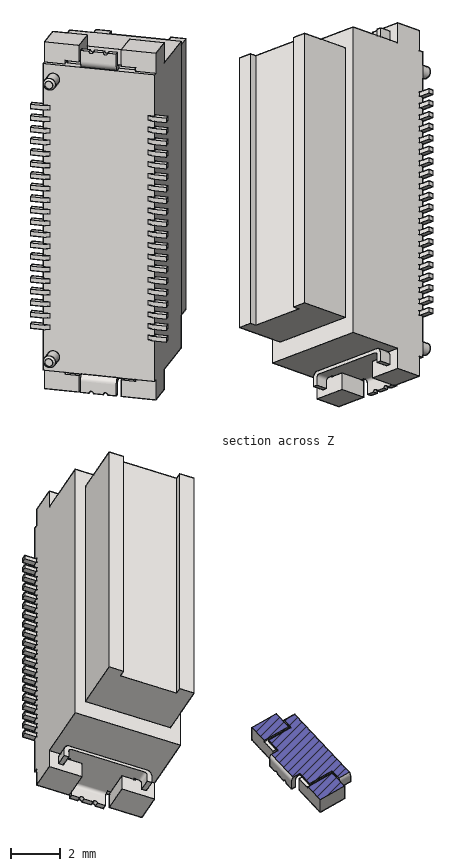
import cadquery as cq
import math


overall_length = 15.0
ear_length = 0.87
body_width = 4.68
body_depth = 3.92
body_half_length = overall_length / 2 - ear_length
plug_width = 3.78
plug_length = 11.7
plug_back = 6.21
groove_width = 2.49
groove_depth = 0.3

ear_gap = 1.77
ear_front = 0.18
ear_back = 1.41
clip_slot_width = 2.97

peg_radius = 0.25
peg_length = 0.69
peg_chamfer = 0.09
peg_x = -1.9
peg_z = 6.0

leads_per_side = 20
lead_row_length = 9.5
lead_pitch = lead_row_length / (leads_per_side - 1)
lead_height = 0.2
lead_reach = 2.85
lead_flat_end = 2.26
lead_bend = 0.14
lead_root = 2.05
lead_back = 0.15
lead_slot_depth = 0.2
mount_plane = -0.09

sheet = 0.21
inner_bend = 0.14
outer_bend = inner_bend + sheet
clip_bottom = 6.57
clip_top = clip_bottom + sheet
crossbar_half_width = 1.95
crossbar_front = 1.45
crossbar_back = 2.0
crossbar_tip = 7.23
web_width = 2.82
web_front = 0.33
tab_width = 1.5
tab_tip = 7.4
notch_radius = 0.09
notch_x = 0.3


def block(width, y_front, y_back, z_low, z_high, x_center=0):
    """Box centred on x_center, given by its Y and Z limits."""
    return (
        cq.Workplane("XY")
        .box(width, y_back - y_front, z_high - z_low, centered=(True, False, False))
        .translate((x_center, y_front, z_low))
    )


def make_body():
    body = block(body_width, 0, body_depth, -body_half_length, body_half_length)
    plug = block(plug_width, body_depth, plug_back, -plug_length / 2, plug_length / 2)
    groove = block(groove_width, plug_back - groove_depth, plug_back, -plug_length / 2, plug_length / 2)
    return body.union(plug.cut(groove))


def make_ears():
    """Pair of ears at the upper end, slotted along their root for the clip."""
    top = overall_length / 2
    ears = block(body_width, ear_front, ear_back, body_half_length, top)
    gap = block(ear_gap, ear_front, ear_back, body_half_length, top)
    slot = block(clip_slot_width, ear_front, ear_back, body_half_length, clip_top)
    return ears.cut(gap).cut(slot)


def bent_strip(plane, start, reach, height):
    """L-shaped sheet profile: flat from start, then bent up at reach to height."""
    diagonal = math.sqrt(0.5)
    bend_x = reach - outer_bend
    return (
        cq.Workplane(plane)
        .moveTo(start, 0)
        .lineTo(bend_x, 0)
        .threePointArc(
            (bend_x + outer_bend * diagonal, outer_bend * (1 - diagonal)),
            (reach, outer_bend),
        )
        .lineTo(reach, height)
        .lineTo(reach - sheet, height)
        .lineTo(reach - sheet, outer_bend)
        .threePointArc(
            (bend_x + inner_bend * diagonal, outer_bend - inner_bend * diagonal),
            (bend_x, sheet),
        )
        .lineTo(start, sheet)
        .close()
    )


def make_clip():
    """Clip at the upper end: crossbar with upturned tips, web and solder tab."""
    crossbar_plane = cq.Plane((0, crossbar_back, clip_bottom), (1, 0, 0), (0, -1, 0))
    half_crossbar = bent_strip(
        crossbar_plane, 0, crossbar_half_width, crossbar_tip - clip_bottom
    ).extrude(crossbar_back - crossbar_front)
    clip = half_crossbar.union(half_crossbar.mirror("YZ"))

    clip = clip.union(block(web_width, web_front, crossbar_back, clip_bottom, clip_top))

    tab_plane = cq.Plane((0, 0, clip_bottom), (0, -1, 0), (-1, 0, 0))
    tab = bent_strip(
        tab_plane, -crossbar_front, -mount_plane, tab_tip - clip_bottom
    ).extrude(tab_width / 2, both=True)
    notches = (
        cq.Workplane("XZ", origin=(0, sheet, tab_tip))
        .pushPoints([(-notch_x, 0), (notch_x, 0)])
        .circle(notch_radius)
        .extrude(2 * sheet)
    )
    return clip.union(tab.cut(notches))


def make_pegs():
    """Chamfered pegs standing on the underside."""
    return (
        cq.Workplane("XZ")
        .pushPoints([(peg_x, -peg_z), (peg_x, peg_z)])
        .circle(peg_radius)
        .extrude(peg_length)
        .faces("<Y")
        .chamfer(peg_chamfer)
    )


def two_rows(shape):
    """Repeat a shape along Z at the lead pitch, on both sides of the body."""
    pair = shape.union(shape.mirror("YZ"))
    rows = cq.Workplane("XY")
    for index in range(leads_per_side):
        z = index * lead_pitch - lead_row_length / 2
        rows.add(pair.translate((0, 0, z)))
    return rows.combine()


def make_leads():
    """Both rows of leads, each sloping up into the underside at its root."""
    lead = (
        cq.Workplane("XY")
        .moveTo(lead_reach, mount_plane)
        .lineTo(lead_reach, lead_back)
        .lineTo(lead_root, lead_back)
        .lineTo(lead_root, 0)
        .lineTo(lead_flat_end, mount_plane)
        .close()
        .extrude(lead_height / 2, both=True)
        .edges(cq.NearestToPointSelector((lead_flat_end, mount_plane, 0)))
        .fillet(lead_bend)
    )
    return two_rows(lead)


def make_lead_clearances():
    """Shallow gaps in the body behind the leads, open at the body sides."""
    gap_width = body_width / 2 - lead_root
    gap_center = lead_root + gap_width / 2
    gap = block(gap_width, lead_back, lead_slot_depth, -lead_height / 2, lead_height / 2, gap_center)
    return two_rows(gap)


upper_end = make_ears().union(make_clip())
lower_end = upper_end.mirror("XY")
body = make_body().cut(make_lead_clearances())
result = body.union(upper_end).union(lower_end).union(make_pegs()).union(make_leads())